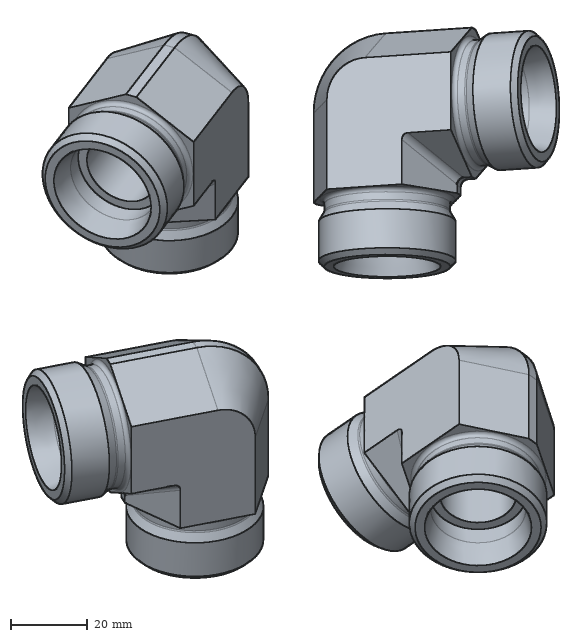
import cadquery as cq
import math


ACROSS_FLATS = 36.0
HALF_SECTOR = math.pi / 6
CORNER_FLAT_WIDTH = 3.0
BODY_REACH = 24.0
INNER_CORNER_RADIUS = 2.0

PORT_REACH = 42.0
THREAD_DIAMETER = 36.0
NECK_DIAMETER = 33.0
END_CHAMFER = 1.5
NECK_FILLET = 1.2
NECK_LENGTH = 3.5
SHOULDER_ANGLE = 30.0
SHOULDER_BLEND = 1.0

BORE_DIAMETER = 20.0
DRILL_POINT_ANGLE = 118.0
SOCKET_DIAMETER = 25.0
SOCKET_DEPTH = 12.0
MOUTH_DIAMETER = 28.0
MOUTH_CONE_ANGLE = 24.0

OVERLAP = 1.0


def truncated_corner_reach():
    """Distance from the axis to the truncated corner of the hexagon."""
    sharp_corner = ACROSS_FLATS / 2 / math.cos(HALF_SECTOR)
    return sharp_corner - CORNER_FLAT_WIDTH / 2 * math.tan(HALF_SECTOR)


def hexagon_points():
    """Hexagon with flats facing +X and -X and truncated corners on the second axis."""
    side = ACROSS_FLATS / 2
    side_end = side * math.tan(HALF_SECTOR)
    tip = truncated_corner_reach()
    tip_end = CORNER_FLAT_WIDTH / 2
    upper = [(side, side_end), (tip_end, tip), (-tip_end, tip), (-side, side_end)]
    lower = [(-x, -y) for x, y in upper]
    return upper + lower


def forward(shape):
    """Turn a downward leg about X so that it points along -Y."""
    return shape.rotate((0, 0, 0), (1, 0, 0), -90)


def body():
    """Two hexagonal legs joined by an outer bend turned about the X axis."""
    down_leg = cq.Workplane("XY").polyline(hexagon_points()).close().extrude(-BODY_REACH)
    upper_half = [(x, y) for x, y in hexagon_points() if y > 0]
    side = ACROSS_FLATS / 2
    bend = (
        cq.Workplane("XY")
        .polyline(upper_half + [(-side, 0), (side, 0)])
        .close()
        .revolve(90, (0, 0, 0), (1, 0, 0))
    )
    joined = down_leg.union(forward(down_leg)).union(bend).clean()

    margin = 0.1
    inner_side = side - margin
    seam_start = side * math.tan(HALF_SECTOR)
    seam_end = truncated_corner_reach() + margin
    seam_box = cq.selectors.BoxSelector(
        (-inner_side, -seam_start, -seam_start),
        (inner_side, -seam_end, -seam_end),
    )
    return joined.edges(seam_box).fillet(INNER_CORNER_RADIUS)


def threaded_end():
    """Turned end of the downward port, with its undercut neck and conical shoulder."""
    neck = NECK_DIAMETER / 2
    thread = THREAD_DIAMETER / 2
    slope = math.radians(SHOULDER_ANGLE)
    neck_end = BODY_REACH + NECK_LENGTH
    shoulder_end = neck_end + (thread - neck) / math.tan(slope)
    tangent = SHOULDER_BLEND * math.tan(slope / 2)
    blend_centre = (neck + SHOULDER_BLEND, -neck_end + tangent)
    blend_middle = (
        blend_centre[0] - SHOULDER_BLEND * math.cos(slope / 2),
        blend_centre[1] - SHOULDER_BLEND * math.sin(slope / 2),
    )
    blend_end = (neck + tangent * math.sin(slope), -neck_end - tangent * math.cos(slope))
    fillet_middle = NECK_FILLET * (1 - math.cos(math.pi / 4))
    return (
        cq.Workplane("XZ")
        .moveTo(0, -BODY_REACH + OVERLAP)
        .lineTo(neck + NECK_FILLET, -BODY_REACH + OVERLAP)
        .lineTo(neck + NECK_FILLET, -BODY_REACH)
        .threePointArc(
            (neck + fillet_middle, -BODY_REACH - fillet_middle),
            (neck, -BODY_REACH - NECK_FILLET),
        )
        .lineTo(neck, -neck_end + tangent)
        .threePointArc(blend_middle, blend_end)
        .lineTo(thread, -shoulder_end)
        .lineTo(thread, -PORT_REACH + END_CHAMFER)
        .lineTo(thread - END_CHAMFER, -PORT_REACH)
        .lineTo(0, -PORT_REACH)
        .close()
        .revolve(360, (0, 0, 0), (0, 1, 0))
    )


def port_bore():
    """Sealing cone, tube socket and drilled bore of the downward port."""
    bore = BORE_DIAMETER / 2
    socket = SOCKET_DIAMETER / 2
    mouth = MOUTH_DIAMETER / 2
    point_height = bore / math.tan(math.radians(DRILL_POINT_ANGLE / 2))
    cone_depth = (mouth - socket) / math.tan(math.radians(MOUTH_CONE_ANGLE / 2))
    profile = [
        (0, -PORT_REACH),
        (mouth, -PORT_REACH),
        (socket, -PORT_REACH + cone_depth),
        (socket, -PORT_REACH + SOCKET_DEPTH),
        (bore, -PORT_REACH + SOCKET_DEPTH),
        (bore, 0),
        (0, point_height),
    ]
    return cq.Workplane("XZ").polyline(profile).close().revolve(360, (0, 0, 0), (0, 1, 0))


def elbow():
    """Body with both ports added and then bored."""
    end = threaded_end()
    bore = port_bore()
    solid = body().union(end).union(forward(end))
    return solid.cut(bore).cut(forward(bore))


result = elbow()